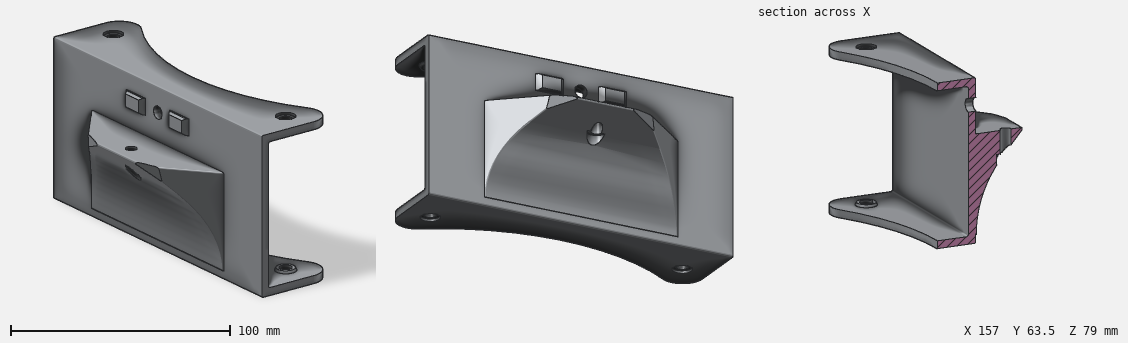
import cadquery as cq
import math

width = 157.0
height = 79.0
depth = 39.9
wall = 4.0
bend_radius = 1.0
lug_radius = 10.0
recess_floor = 19.6

flange_hole_x = 65.0
flange_hole_y = 23.9
flange_hole_diameter = 6.0
seat_diameter = 9.3
seat_depth = 1.3
boss_base_diameter = 10.2
boss_top_diameter = 9.0
boss_height = 1.3

web_hole_z = 26.7
web_hole_diameter = 6.3
pad_x = 16.3
pad_width = 14.5
pad_height = 8.2
pad_depth = 2.4
pad_side_bevel = 2.4
pad_edge_bevel = 1.0
pad_edge_bevel_depth = 1.4

shelf_half_width = 50.0
shelf_top = 12.7
shelf_bottom = -35.2
shelf_root = wall / 2
shelf_toe = 0.3
sweep_end_depth = 13.5
shelf_fillet = 0.86
side_end_x = 26.7
side_end_depth = 19.5
facet_end_x = 14.1
nose_depth = 23.7
facet_tilt = 5.0
shelf_hole_depth = 15.0
shelf_hole_diameter = 5.3
shelf_counterbore_diameter = 9.0
shelf_counterbore_ceiling = 1.3

half_width = width / 2
half_height = height / 2


def cylinder_up(x, y, z, diameter, length):
    return cq.Workplane("XY", origin=(x, y, z)).circle(diameter / 2).extrude(length)


def channel():
    section = (
        cq.Workplane("YZ", origin=(-half_width, 0, 0))
        .rect(2 * depth, height)
        .extrude(width)
        .intersect(cq.Workplane("XY").box(width, depth, height, centered=(True, False, True)))
        .edges("|X and <Y")
        .fillet(bend_radius)
    )
    cavity = (
        cq.Workplane("XY", origin=(0, wall, 0))
        .box(width, depth, height - 2 * wall, centered=(True, False, True))
        .edges("|X and <Y")
        .fillet(bend_radius)
    )
    return section.cut(cavity).intersect(flange_outline())


def flange_outline():
    """Plan outline: lug arcs blending tangentially into one concave arc."""
    lug_x = half_width - lug_radius
    lug_y = depth - lug_radius
    rise = lug_y - recess_floor
    recess_radius = (lug_x**2 + rise**2 - lug_radius**2) / (2 * (lug_radius + rise))
    recess_y = recess_floor + recess_radius
    reach = recess_radius + lug_radius
    tangent_x = lug_x * recess_radius / reach
    tangent_y = recess_y + (lug_y - recess_y) * recess_radius / reach
    half_sweep = math.atan2(tangent_y - lug_y, tangent_x - lug_x) / 2
    mid_x = lug_x + lug_radius * math.cos(half_sweep)
    mid_y = lug_y + lug_radius * math.sin(half_sweep)
    return (
        cq.Workplane("XY", origin=(0, 0, -half_height))
        .moveTo(-half_width, 0)
        .lineTo(half_width, 0)
        .lineTo(half_width, lug_y)
        .threePointArc((mid_x, mid_y), (tangent_x, tangent_y))
        .threePointArc((0, recess_floor), (-tangent_x, tangent_y))
        .threePointArc((-mid_x, mid_y), (-half_width, lug_y))
        .close()
        .extrude(height)
    )


def flange_boss(x):
    """Conical boss on the inner face of the upper flange."""
    return (
        cq.Workplane("XY", origin=(x, flange_hole_y, half_height - wall))
        .circle(boss_base_diameter / 2)
        .workplane(offset=-boss_height)
        .circle(boss_top_diameter / 2)
        .loft()
    )


def pad(x):
    """Block on the web face, bevelled along all four front edges."""
    half_w = pad_width / 2
    half_h = pad_height / 2
    plan = (
        cq.Workplane("XY", origin=(x, 0, web_hole_z - half_h))
        .polyline([
            (-half_w, 0),
            (half_w, 0),
            (half_w - pad_side_bevel, -pad_depth),
            (pad_side_bevel - half_w, -pad_depth),
        ])
        .close()
        .extrude(pad_height)
    )
    shoulder = pad_edge_bevel_depth - pad_depth
    profile = (
        cq.Workplane("YZ", origin=(x - half_w, 0, web_hole_z))
        .polyline([
            (0, -half_h),
            (shoulder, -half_h),
            (-pad_depth, pad_edge_bevel - half_h),
            (-pad_depth, half_h - pad_edge_bevel),
            (shoulder, half_h),
            (0, half_h),
        ])
        .close()
        .extrude(pad_width)
    )
    return plan.intersect(profile)


def facet_cutter():
    """Block whose face trims the +X front corner of the shelf."""
    along = cq.Vector(facet_end_x - side_end_x, side_end_depth - nose_depth, 0).normalized()
    outward = cq.Vector(-along.y, along.x, 0)
    tilt = math.radians(facet_tilt)
    normal = outward * math.cos(tilt) + cq.Vector(0, 0, -math.sin(tilt))
    middle = cq.Vector(
        (facet_end_x + side_end_x) / 2,
        -(nose_depth + side_end_depth) / 2,
        shelf_top - shelf_fillet,
    )
    size = nose_depth
    plane = cq.Plane(origin=middle.toTuple(), xDir=along.toTuple(), normal=normal.toTuple())
    return cq.Workplane(plane).rect(2 * size, 2 * size).extrude(size)


def shelf():
    sweep_rise = -shelf_bottom
    sweep_run = sweep_end_depth - shelf_toe
    sweep_angle = 2 * math.atan(sweep_run / sweep_rise)
    sweep_radius = sweep_rise / math.sin(sweep_angle)
    sweep_mid_y = -shelf_toe - sweep_radius * (1 - math.cos(sweep_angle / 2))
    sweep_mid_z = shelf_bottom + sweep_radius * math.sin(sweep_angle / 2)
    tip_depth = sweep_end_depth + shelf_top * math.tan(sweep_angle)

    profile = (
        cq.Workplane("YZ", origin=(-shelf_half_width, 0, 0))
        .moveTo(shelf_root, shelf_top)
        .lineTo(-tip_depth, shelf_top)
        .lineTo(-sweep_end_depth, 0)
        .threePointArc((sweep_mid_y, sweep_mid_z), (-shelf_toe, shelf_bottom))
        .lineTo(shelf_root, shelf_bottom)
        .close()
        .extrude(2 * shelf_half_width)
    )
    slant = (shelf_half_width - side_end_x) / side_end_depth
    tip_x = shelf_half_width - slant * tip_depth
    plan = (
        cq.Workplane("XY", origin=(0, 0, shelf_bottom))
        .polyline([
            (-shelf_half_width, shelf_root),
            (-shelf_half_width, 0),
            (-tip_x, -tip_depth),
            (tip_x, -tip_depth),
            (shelf_half_width, 0),
            (shelf_half_width, shelf_root),
        ])
        .close()
        .extrude(shelf_top - shelf_bottom)
    )
    body = profile.intersect(plan)
    ridge = body.faces(">Z").edges("<Y")
    slants = body.faces(">Z").edges("not(|X or |Y)")
    margin = 1.5
    flanks = body.edges(
        cq.selectors.BoxSelector(
            (-shelf_half_width, -tip_depth, shelf_bottom + margin),
            (shelf_half_width, -margin, shelf_top - margin),
        )
    ).edges("not |X")
    rounded = ridge.add(slants).add(flanks)
    body = rounded.fillet(shelf_fillet)
    cutter = facet_cutter()
    return body.cut(cutter).cut(cutter.mirror("YZ"))


bracket = channel()
for side in (-1, 1):
    boss = flange_boss(side * flange_hole_x)
    bracket = bracket.union(boss).union(boss.mirror("XY"))
    bracket = bracket.union(pad(side * pad_x))
bracket = bracket.union(shelf())

for side in (-1, 1):
    x = side * flange_hole_x
    bracket = bracket.cut(cylinder_up(x, flange_hole_y, -half_height, flange_hole_diameter, height))
    seat = cylinder_up(x, flange_hole_y, half_height - seat_depth, seat_diameter, seat_depth)
    bracket = bracket.cut(seat).cut(seat.mirror("XY"))

web_hole = (
    cq.Workplane("XZ", origin=(0, wall, web_hole_z))
    .circle(web_hole_diameter / 2)
    .extrude(wall)
)
bracket = bracket.cut(web_hole)

bracket = bracket.cut(cylinder_up(0, -shelf_hole_depth, 0, shelf_hole_diameter, shelf_top))
counterbore_length = shelf_counterbore_ceiling - shelf_bottom
bracket = bracket.cut(
    cylinder_up(0, -shelf_hole_depth, shelf_bottom, shelf_counterbore_diameter, counterbore_length)
)

result = bracket